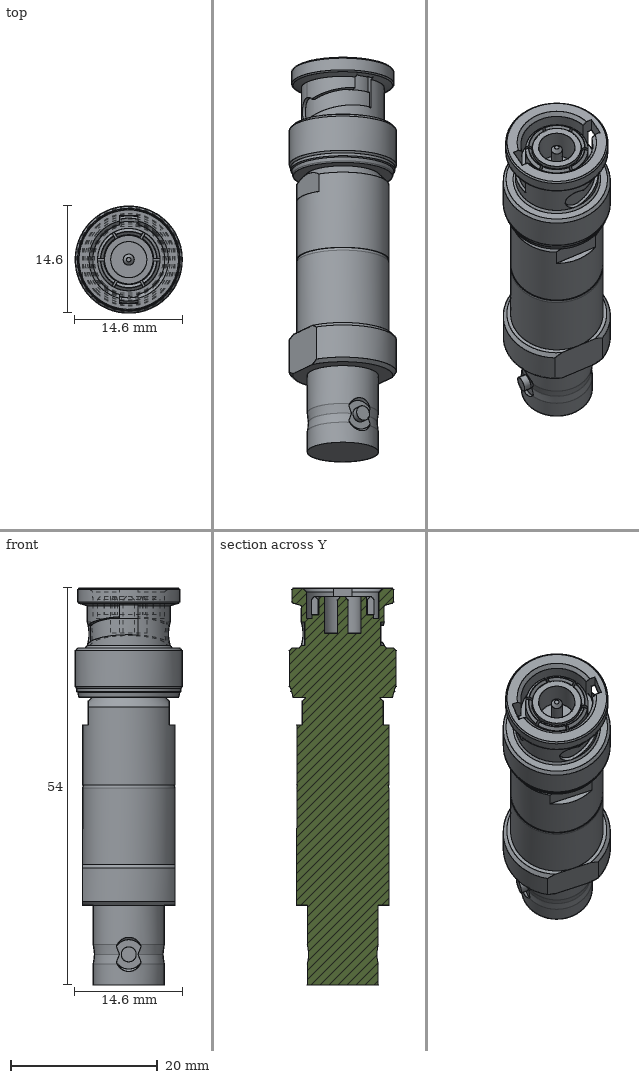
import cadquery as cq
import math

TOTAL_HEIGHT = 54.0
NUT_BOTTOM_Z = 10.85
NUT_TOP_Z = 16.4
JOINT_Z = 27.0
WRENCH_FLAT_BOTTOM_Z = 35.4
SHOULDER_Z = 37.85
GRIP_BOTTOM_Z = 39.1
GRIP_FOOT_Z = 39.3
GRIP_SKIRT_BOTTOM_Z = 39.95
GRIP_SKIRT_TOP_Z = 40.35
GRIP_EDGE_Z = 40.65
GRIP_TOP_Z = 45.9
FLANGE_BOTTOM_Z = 51.95

JACK_RADIUS = 4.85
BODY_RADIUS = 6.3
NUT_RADIUS = 7.3
GRIP_RADIUS = 7.3
GRIP_SKIRT_RADIUS = 7.1
GRIP_FOOT_RADIUS = 6.85
NECK_RADIUS = 5.65
FLANGE_RADIUS = 6.97

NUT_CHAMFER = 0.5
GRIP_CHAMFER = 0.4
GRIP_SKIRT_BEVEL = 0.15
GRIP_FOOT_BEVEL = 0.1
NECK_FLARE = 0.3
FLANGE_TOP_CHAMFER = 0.2
FLANGE_BOTTOM_CHAMFER = 0.2
FLANGE_UNDERSIDE_SLOPE = 17.0
JOINT_WIDTH = 0.4
JOINT_DEPTH = 0.1

NUT_FLAT_OFFSET = BODY_RADIUS
WRENCH_FLAT_OFFSET = 5.52

PIN_Z = 4.17
PIN_RADIUS = 1.02
PIN_REACH = 5.5
GROOVE_HALF_WIDTH = 1.33
GROOVE_DEPTH = 0.16
SPOTFACE_FLOOR = 4.52
SPOTFACE_RADIUS = 2.0

SLEEVE_BORE_RADIUS = 4.9
SLEEVE_BORE_CHAMFER = 0.5
SLEEVE_BORE_FLOOR_Z = 49.9
INNER_COLLAR_RADIUS = 5.2
KEYWAY_WIDTH = 2.5
KEYWAY_REACH = 6.0
LATCH_Z = 47.8
LATCH_RADIUS = 1.58
RAMP_ANGLE = 15.0
RAMP_WIDTH = 2.4

PLUG_TOP_Z = 52.9
FINGER_RADIUS = 4.25
FINGER_NOSE = 0.4
FINGER_INNER_RADIUS = 3.4
FINGER_SLOT_DEPTH = 2.5
FINGER_SLOT_COUNT = 6
FINGER_SLOT_WIDTH = 0.35
INSULATOR_RADIUS = 3.3
INSULATOR_BORE_RADIUS = 2.46
INSULATOR_BORE_FLOOR_Z = 47.9
CONTACT_RADIUS = 0.75
CONTACT_TIP_RADIUS = 0.3
CONTACT_TIP_LENGTH = 0.5


def cylinder(radius, bottom, top):
    return cq.Workplane("XY").workplane(offset=bottom).circle(radius).extrude(top - bottom)


def revolve_profile(points):
    """Revolve a closed (radius, z) outline around the Z axis."""
    return cq.Workplane("XZ").polyline(points).close().revolve(360, (0, 0), (0, 1))


def jack_outline():
    """(radius, z) points of the jack barrel with its V groove."""
    return [
        (JACK_RADIUS, 0),
        (JACK_RADIUS, PIN_Z - GROOVE_HALF_WIDTH),
        (JACK_RADIUS - GROOVE_DEPTH, PIN_Z),
        (JACK_RADIUS, PIN_Z + GROOVE_HALF_WIDTH),
        (JACK_RADIUS, NUT_BOTTOM_Z),
    ]


def nut_outline():
    return [
        (NUT_RADIUS - NUT_CHAMFER, NUT_BOTTOM_Z),
        (NUT_RADIUS, NUT_BOTTOM_Z + NUT_CHAMFER),
        (NUT_RADIUS, NUT_TOP_Z - NUT_CHAMFER),
        (NUT_RADIUS - NUT_CHAMFER, NUT_TOP_Z),
    ]


def housing_outline():
    """Cylinder with a shallow joint line and a 45 degree shoulder running up into the grip."""
    joint_bottom = JOINT_Z - JOINT_WIDTH / 2
    joint_top = JOINT_Z + JOINT_WIDTH / 2
    shoulder_top_radius = BODY_RADIUS - (GRIP_BOTTOM_Z - SHOULDER_Z)
    return [
        (BODY_RADIUS, NUT_TOP_Z),
        (BODY_RADIUS, joint_bottom),
        (BODY_RADIUS - JOINT_DEPTH, joint_top),
        (BODY_RADIUS, joint_top),
        (BODY_RADIUS, SHOULDER_Z),
        (shoulder_top_radius, GRIP_BOTTOM_Z),
    ]


def grip_outline():
    """Foot, skirt and cylinder of the coupling grip, ending at the flared foot of the neck."""
    return [
        (GRIP_FOOT_RADIUS - GRIP_FOOT_BEVEL, GRIP_BOTTOM_Z),
        (GRIP_FOOT_RADIUS, GRIP_FOOT_Z),
        (GRIP_SKIRT_RADIUS - GRIP_SKIRT_BEVEL, GRIP_SKIRT_BOTTOM_Z - GRIP_SKIRT_BEVEL),
        (GRIP_SKIRT_RADIUS, GRIP_SKIRT_BOTTOM_Z),
        (GRIP_SKIRT_RADIUS, GRIP_SKIRT_TOP_Z),
        (GRIP_RADIUS, GRIP_EDGE_Z),
        (GRIP_RADIUS, GRIP_TOP_Z - GRIP_CHAMFER),
        (GRIP_RADIUS - GRIP_CHAMFER, GRIP_TOP_Z),
        (NECK_RADIUS + NECK_FLARE, GRIP_TOP_Z),
        (NECK_RADIUS, GRIP_TOP_Z + NECK_FLARE),
    ]


def flange_outline():
    """Flange from the inner end of its sloping underside to the axis."""
    underside_radius = FLANGE_RADIUS - FLANGE_BOTTOM_CHAMFER
    underside_drop = (underside_radius - NECK_RADIUS) * math.tan(math.radians(FLANGE_UNDERSIDE_SLOPE))
    return [
        (NECK_RADIUS, FLANGE_BOTTOM_Z - underside_drop),
        (underside_radius, FLANGE_BOTTOM_Z),
        (FLANGE_RADIUS, FLANGE_BOTTOM_Z + FLANGE_BOTTOM_CHAMFER),
        (FLANGE_RADIUS, TOTAL_HEIGHT - FLANGE_TOP_CHAMFER),
        (FLANGE_RADIUS - FLANGE_TOP_CHAMFER, TOTAL_HEIGHT),
        (0, TOTAL_HEIGHT),
    ]


def make_outer_body():
    outline = [(0, 0)]
    outline += jack_outline()
    outline += nut_outline()
    outline += housing_outline()
    outline += grip_outline()
    outline += flange_outline()
    return revolve_profile(outline)


def side_flat_cut(offset, bottom, top):
    """Material outside the planes x = +offset and x = -offset."""
    height = top - bottom
    middle = (top + bottom) / 2
    outer_size = 4 * NUT_RADIUS
    block = cq.Workplane("XY").box(outer_size, outer_size, height)
    core = cq.Workplane("XY").box(2 * offset, outer_size, height)
    return block.cut(core).translate((0, 0, middle))


def both_sides(shape):
    """Pair a shape with its copy turned half a turn around Z."""
    return shape.union(shape.rotate((0, 0, 0), (0, 0, 1), 180))


def spotface_cut():
    """Bevelled recess around the pin on the -Y side, flaring outward at 45 degrees."""
    depth = PIN_REACH - SPOTFACE_FLOOR
    face = cq.Workplane("XZ", origin=(0, -SPOTFACE_FLOOR, PIN_Z))
    return face.circle(SPOTFACE_RADIUS).extrude(depth, taper=-45)


def bayonet_pins():
    start = cq.Workplane("XZ", origin=(0, PIN_REACH, PIN_Z))
    return start.circle(PIN_RADIUS).extrude(2 * PIN_REACH)


def keyway_cut():
    """Axial keyway on the -Y side, open at the top, down to the ramp."""
    ramp_run = NECK_RADIUS * math.tan(math.radians(RAMP_ANGLE))
    bottom = LATCH_Z - LATCH_RADIUS / math.cos(math.radians(RAMP_ANGLE)) + ramp_run
    height = TOTAL_HEIGHT - bottom
    box = cq.Workplane("XY").box(KEYWAY_WIDTH, KEYWAY_REACH, height)
    return box.translate((0, -KEYWAY_REACH / 2, bottom + height / 2))


def ramp_cut():
    """Sloping slot from the -Y keyway down to the round latch hole on the -X side."""
    angle = math.radians(RAMP_ANGLE)
    touch_y = -LATCH_RADIUS * math.sin(angle)
    touch_z = LATCH_Z - LATCH_RADIUS * math.cos(angle)
    end_z = touch_z + (KEYWAY_REACH + touch_y) * math.tan(angle)
    slot_height = RAMP_WIDTH / math.cos(angle)
    outline = [
        (touch_y, touch_z),
        (-KEYWAY_REACH, end_z),
        (-KEYWAY_REACH, end_z + slot_height),
        (touch_y, touch_z + slot_height),
    ]
    side = cq.Workplane("YZ", origin=(-KEYWAY_REACH, 0, 0))
    ramp = side.polyline(outline).close().extrude(KEYWAY_REACH + KEYWAY_WIDTH / 2)
    latch = side.center(0, LATCH_Z).circle(LATCH_RADIUS).extrude(KEYWAY_REACH)
    return ramp.union(latch)


def sleeve_bore_cut():
    bore = cylinder(SLEEVE_BORE_RADIUS, SLEEVE_BORE_FLOOR_Z, TOTAL_HEIGHT)
    lead_in = revolve_profile([
        (0, TOTAL_HEIGHT),
        (SLEEVE_BORE_RADIUS + SLEEVE_BORE_CHAMFER, TOTAL_HEIGHT),
        (SLEEVE_BORE_RADIUS, TOTAL_HEIGHT - SLEEVE_BORE_CHAMFER),
        (0, TOTAL_HEIGHT - SLEEVE_BORE_CHAMFER),
    ])
    return bore.union(lead_in)


def make_plug():
    """Slotted outer contact around the solid insulator core."""
    slot_floor = PLUG_TOP_Z - FINGER_SLOT_DEPTH
    fingers = cylinder(FINGER_RADIUS, SLEEVE_BORE_FLOOR_Z, PLUG_TOP_Z)
    fingers = fingers.cut(cylinder(FINGER_INNER_RADIUS, slot_floor, PLUG_TOP_Z))
    fingers = fingers.faces(">Z").edges().chamfer(FINGER_NOSE)
    for index in range(FINGER_SLOT_COUNT // 2):
        slot = cq.Workplane("XY").box(3 * FINGER_RADIUS, FINGER_SLOT_WIDTH, FINGER_SLOT_DEPTH)
        slot = slot.translate((0, 0, slot_floor + FINGER_SLOT_DEPTH / 2))
        fingers = fingers.cut(slot.rotate((0, 0, 0), (0, 0, 1), index * 360 / FINGER_SLOT_COUNT))
    return fingers.union(cylinder(INSULATOR_RADIUS, slot_floor, PLUG_TOP_Z))


def make_centre_contact():
    return revolve_profile([
        (0, INSULATOR_BORE_FLOOR_Z),
        (CONTACT_RADIUS, INSULATOR_BORE_FLOOR_Z),
        (CONTACT_RADIUS, PLUG_TOP_Z - CONTACT_TIP_LENGTH),
        (CONTACT_TIP_RADIUS, PLUG_TOP_Z),
        (0, PLUG_TOP_Z),
    ])


body = make_outer_body()
body = body.cut(side_flat_cut(NUT_FLAT_OFFSET, NUT_BOTTOM_Z, NUT_TOP_Z))
body = body.cut(side_flat_cut(WRENCH_FLAT_OFFSET, WRENCH_FLAT_BOTTOM_Z, GRIP_BOTTOM_Z))
body = body.cut(both_sides(spotface_cut()))
body = body.union(bayonet_pins())
body = body.cut(sleeve_bore_cut())
bayonet_track = both_sides(keyway_cut().union(ramp_cut()))
inner_collar = cylinder(INNER_COLLAR_RADIUS, GRIP_TOP_Z, SLEEVE_BORE_FLOOR_Z)
body = body.cut(bayonet_track.cut(inner_collar))
body = body.union(make_plug())
body = body.cut(cylinder(INSULATOR_BORE_RADIUS, INSULATOR_BORE_FLOOR_Z, PLUG_TOP_Z))
result = body.union(make_centre_contact())